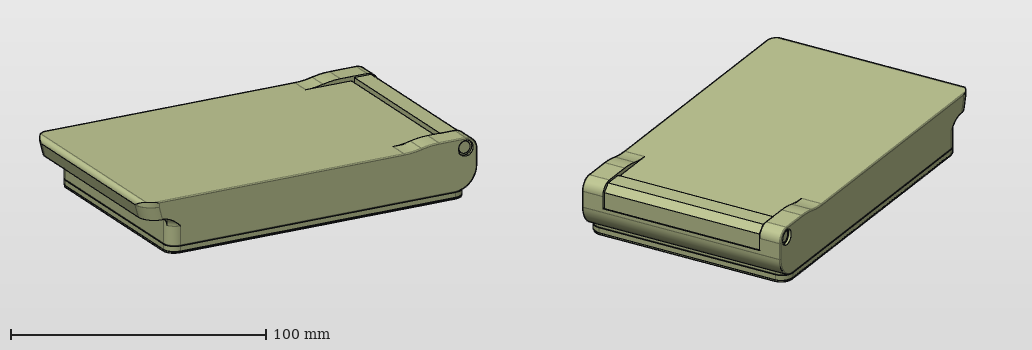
import cadquery as cq
import math

LENGTH = 149.0
WIDTH = 90.0
HEIGHT = 25.0
REAR_Y = LENGTH / 2
NOSE_Y = -LENGTH / 2
SIDE_X = WIDTH / 2

PAD_THICKNESS = 0.7
PAD_SIDE_INSET = 0.5
BASE_TOP = 3.0
BOX_FRONT_Y = -62.9
BOX_REAR_Y = 69.7
BOX_CORNER_RADIUS = 4.9

LID_TOP = 23.2
NOSE_BOTTOM = 15.5
NOSE_LEAN = 15.0
NOSE_ROUND = 2.2
NOSE_CORNER_RADIUS = 7.0
SIDE_EDGE_ROUND = 0.5
REAR_BOTTOM_RADIUS = 10.0

GUSSET_RADIUS = 4.0
GUSSET_WIDTH = 3.0

EAR_WIDTH = 9.4
EAR_REAR_RADIUS = 5.0
RAMP_TOP_Y = 57.5
RAMP_FOOT_Y = 42.0

BAR_GAP_SIDE = 0.5
BAR_GAP_FRONT = 1.0
BAR_INSET = 0.5
BAR_FRONT_Y = 63.5
BAR_BOTTOM = 14.6
BAR_REAR_CHAMFER = 3.0

PIN_Z = 20.7
PIN_RADIUS = 2.5
RECESS_DEPTH = 1.2
RECESS_RADIUS = 3.3
PIN_DEPTH_IN_BAR = 4.5

CORNER_AXIS_Y = BOX_FRONT_Y + BOX_CORNER_RADIUS
NOSE_TIP_Z = LID_TOP - NOSE_ROUND
NOSE_SLOPE = math.tan(math.radians(NOSE_LEAN))
EAR_INNER_X = SIDE_X - EAR_WIDTH
BAR_END_X = EAR_INNER_X - BAR_GAP_SIDE
BAR_TOP = HEIGHT - BAR_INSET
BAR_REAR_Y = REAR_Y - BAR_INSET
PIN_Y = REAR_Y - EAR_REAR_RADIUS
PIN_OUTER_X = SIDE_X - RECESS_DEPTH
PIN_INNER_X = BAR_END_X - PIN_DEPTH_IN_BAR


def rounded_slab(half_width, bottom, top):
    """Upright slab over the footprint of the box, with rounded vertical corners."""
    return (
        cq.Workplane("XY", origin=(0, 0, bottom))
        .moveTo(0, (BOX_FRONT_Y + BOX_REAR_Y) / 2)
        .rect(2 * half_width, BOX_REAR_Y - BOX_FRONT_Y)
        .extrude(top - bottom)
        .edges("|Z")
        .fillet(BOX_CORNER_RADIUS)
    )


def block(x_range, y_range, z_range):
    """Axis-aligned block between the given limits."""
    size = [high - low for low, high in (x_range, y_range, z_range)]
    corner = (x_range[0], y_range[0], z_range[0])
    return cq.Workplane("XY").box(*size, centered=False).translate(corner)


def x_cylinder(radius, y, z, x_start, x_end):
    """Cylinder along X."""
    return cq.Workplane("YZ", origin=(x_start, y, z)).circle(radius).extrude(x_end - x_start)


def nose_trim():
    """Long slab with rounded nose corners, upright above the nose tip and leaning back below it."""
    upright = (
        cq.Workplane("XY", origin=(0, NOSE_Y + LENGTH, NOSE_TIP_Z))
        .rect(WIDTH, 2 * LENGTH)
        .extrude(HEIGHT)
        .edges("|Z")
        .fillet(NOSE_CORNER_RADIUS)
    )
    lean_direction = cq.Vector(0, NOSE_SLOPE, -1)
    leaning = cq.Solid.extrudeLinear(upright.faces("<Z").val(), lean_direction * HEIGHT)
    return upright.union(cq.Workplane(leaning))


def side_profile():
    """Full-width body: lid, ramps and ears as one side outline, with rounded edges."""
    diagonal = math.sqrt(0.5)
    nose_mid = (NOSE_Y + NOSE_ROUND * (1 - diagonal), LID_TOP - NOSE_ROUND * (1 - diagonal))
    ramp_mid = ((RAMP_TOP_Y + RAMP_FOOT_Y) / 2, (HEIGHT + LID_TOP) / 2)
    ear_mid = (
        REAR_Y - EAR_REAR_RADIUS * (1 - diagonal),
        HEIGHT - EAR_REAR_RADIUS * (1 - diagonal),
    )
    rear_mid = (
        REAR_Y - REAR_BOTTOM_RADIUS * (1 - diagonal),
        BASE_TOP + REAR_BOTTOM_RADIUS * (1 - diagonal),
    )
    body = (
        cq.Workplane("YZ", origin=(-SIDE_X, 0, 0))
        .moveTo(NOSE_Y, BASE_TOP)
        .lineTo(NOSE_Y, NOSE_TIP_Z)
        .threePointArc(nose_mid, (NOSE_Y + NOSE_ROUND, LID_TOP))
        .lineTo(RAMP_FOOT_Y, LID_TOP)
        .tangentArcPoint(ramp_mid, relative=False)
        .tangentArcPoint((RAMP_TOP_Y, HEIGHT), relative=False)
        .lineTo(REAR_Y - EAR_REAR_RADIUS, HEIGHT)
        .threePointArc(ear_mid, (REAR_Y, HEIGHT - EAR_REAR_RADIUS))
        .lineTo(REAR_Y, BASE_TOP + REAR_BOTTOM_RADIUS)
        .threePointArc(rear_mid, (REAR_Y - REAR_BOTTOM_RADIUS, BASE_TOP))
        .close()
        .extrude(WIDTH)
    )
    body = body.faces("<X or >X").edges().fillet(SIDE_EDGE_ROUND)
    under_nose = block((-SIDE_X, SIDE_X), (NOSE_Y, CORNER_AXIS_Y), (BASE_TOP, NOSE_BOTTOM))
    return body.intersect(nose_trim()).cut(under_nose)


def gusset(side):
    """Concave round from a front box corner out to the underside of the nose, next to the side face."""
    axis_x = SIDE_X - BOX_CORNER_RADIUS
    outer = BOX_CORNER_RADIUS + GUSSET_RADIUS
    low = NOSE_BOTTOM - GUSSET_RADIUS
    ring = (
        cq.Workplane("XZ")
        .moveTo(0, low)
        .lineTo(BOX_CORNER_RADIUS, low)
        .radiusArc((outer, NOSE_BOTTOM), GUSSET_RADIUS)
        .lineTo(0, NOSE_BOTTOM)
        .close()
        .revolve(360, (0, 0, 0), (0, 1, 0))
        .translate((axis_x, CORNER_AXIS_Y, 0))
    )
    kept = block((SIDE_X - GUSSET_WIDTH, SIDE_X), (CORNER_AXIS_Y - outer, CORNER_AXIS_Y), (low, NOSE_BOTTOM))
    corner = ring.intersect(kept)
    return corner if side > 0 else corner.mirror("YZ")


def pin_hole(side):
    """Hole through an ear, with a shallow wider recess at the outer face."""
    hole = x_cylinder(PIN_RADIUS, PIN_Y, PIN_Z, side * EAR_INNER_X, side * SIDE_X)
    recess = x_cylinder(RECESS_RADIUS, PIN_Y, PIN_Z, side * PIN_OUTER_X, side * SIDE_X)
    return hole.union(recess)


def make_housing():
    """Box, lid with overhanging nose and two hinge ears."""
    box = rounded_slab(SIDE_X, BASE_TOP, NOSE_BOTTOM).faces("<Z").edges().fillet(SIDE_EDGE_ROUND)
    body = side_profile().union(box)
    between_ears = (-EAR_INNER_X, EAR_INNER_X)
    body = body.cut(block(between_ears, (NOSE_Y, REAR_Y), (LID_TOP, HEIGHT)))
    body = body.cut(block(between_ears, (BAR_FRONT_Y - BAR_GAP_FRONT, REAR_Y), (BAR_BOTTOM, HEIGHT)))
    for side in (-1, 1):
        body = body.union(gusset(side)).cut(pin_hole(side))
    return body


def make_bar():
    """Hinge bar resting on the notch floor, with a blind pin hole in each end."""
    bar = block((-BAR_END_X, BAR_END_X), (BAR_FRONT_Y, BAR_REAR_Y), (BAR_BOTTOM, BAR_TOP))
    bar = bar.edges("|X and >Y and >Z").chamfer(BAR_REAR_CHAMFER)
    for side in (-1, 1):
        bar = bar.cut(make_pin(side))
    return bar


def make_pin(side):
    """Plain pin from the floor of the ear recess into the bar."""
    return x_cylinder(PIN_RADIUS, PIN_Y, PIN_Z, side * PIN_INNER_X, side * PIN_OUTER_X)


housing = make_housing()
base = rounded_slab(SIDE_X, PAD_THICKNESS, BASE_TOP)
pad = rounded_slab(SIDE_X - PAD_SIDE_INSET, 0, PAD_THICKNESS)
hinge_bar = make_bar()
pins = [make_pin(side) for side in (-1, 1)]

result = cq.Compound.makeCompound(
    [
        housing.val(),
        base.val(),
        pad.val(),
        hinge_bar.val(),
        *[pin.val() for pin in pins],
    ]
)